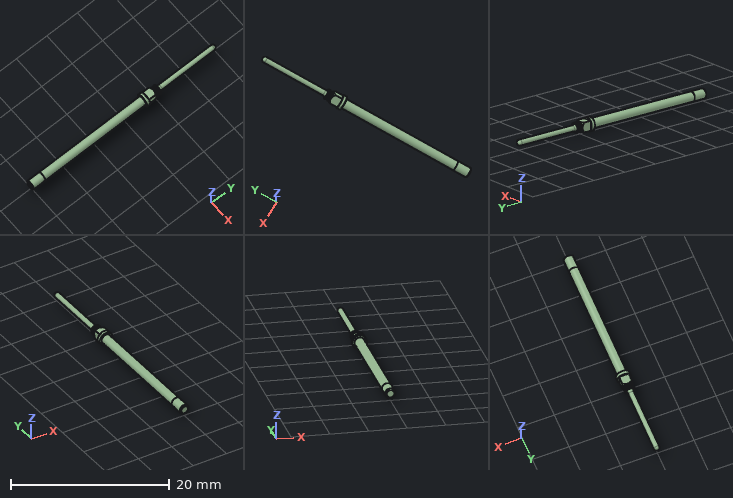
import math

import cadquery as cq

body_diameter = 1.36
end_band_diameter = 1.375
body_end_diameter = 0.98
collar_diameter = 1.9
pin_diameter = 0.82
square_width = body_diameter
shoulder_diameter = body_diameter
groove_depth = 0.1

body_length = 18.5
end_band_length = 2.0
body_chamfer_length = 0.12
collar_length = 0.5
square_length = 1.3
shoulder_length = 0.7
groove_width = 0.36
flare_length = 0.4
flare_arc_radius = 1.2
pin_length = 9.0
pin_end_rounding = 0.4

body_rear = -body_length
chamfer_front = body_rear + body_chamfer_length
end_band_front = body_rear + end_band_length
collar_front = collar_length
square_front = collar_front + square_length
shoulder_front = square_front + shoulder_length
groove_center = square_front + shoulder_length / 2
pin_rear = shoulder_front + flare_length
pin_front = pin_rear + pin_length


def revolve_about_axis(profile):
    """Turn a half profile, drawn with X as radius, around the Y axis."""
    return profile.close().revolve(360, (0, 0, 0), (0, 1, 0))


def rod(diameter, start, end):
    """Cylinder on the Y axis between two positions."""
    return cone(diameter, diameter, start, end)


def cone(start_diameter, end_diameter, start, end):
    """Cone frustum on the Y axis between two positions."""
    profile = (
        cq.Workplane("XY")
        .moveTo(0, start)
        .lineTo(start_diameter / 2, start)
        .lineTo(end_diameter / 2, end)
        .lineTo(0, end)
    )
    return revolve_about_axis(profile)


def body():
    """Long round body with a slightly enlarged rear band and a chamfered end."""
    return (
        rod(body_diameter, end_band_front, 0)
        .union(rod(end_band_diameter, chamfer_front, end_band_front))
        .union(cone(body_end_diameter, end_band_diameter, body_rear, chamfer_front))
    )


def collar():
    """Thin round flange between the body and the square section."""
    return rod(collar_diameter, 0, collar_front)


def square_section():
    """Square with corners rounded to the collar circle and a 45 degree cone at the front."""
    cone_rear = square_front - (collar_diameter - shoulder_diameter) / 2
    block = (
        cq.Workplane("XZ", origin=(0, collar_front, 0))
        .rect(square_width, square_width)
        .extrude(-square_length)
    )
    envelope = rod(collar_diameter, collar_front, cone_rear).union(
        cone(collar_diameter, shoulder_diameter, cone_rear, square_front)
    )
    return block.intersect(envelope)


def grooved_shoulder():
    """Short cylinder ahead of the square, with a V groove around its middle."""
    radius = shoulder_diameter / 2
    profile = (
        cq.Workplane("XY")
        .moveTo(0, square_front)
        .lineTo(radius, square_front)
        .lineTo(radius, groove_center - groove_width / 2)
        .lineTo(radius - groove_depth, groove_center)
        .lineTo(radius, groove_center + groove_width / 2)
        .lineTo(radius, shoulder_front)
        .lineTo(0, shoulder_front)
    )
    return revolve_about_axis(profile)


def flare():
    """Concave flare, tangent to the pin, that widens toward the shoulder."""
    radius = pin_diameter / 2
    widening = flare_arc_radius - math.sqrt(flare_arc_radius**2 - flare_length**2)
    profile = (
        cq.Workplane("XY")
        .moveTo(0, pin_rear)
        .lineTo(radius, pin_rear)
        .radiusArc((radius + widening, shoulder_front), -flare_arc_radius)
        .lineTo(0, shoulder_front)
    )
    return revolve_about_axis(profile)


def pin():
    """Slender round pin whose front end is rounded almost to a half sphere."""
    return rod(pin_diameter, pin_rear, pin_front).faces(">Y").edges().fillet(pin_end_rounding)


result = (
    body()
    .union(collar())
    .union(square_section())
    .union(grooved_shoulder())
    .union(flare())
    .union(pin())
)